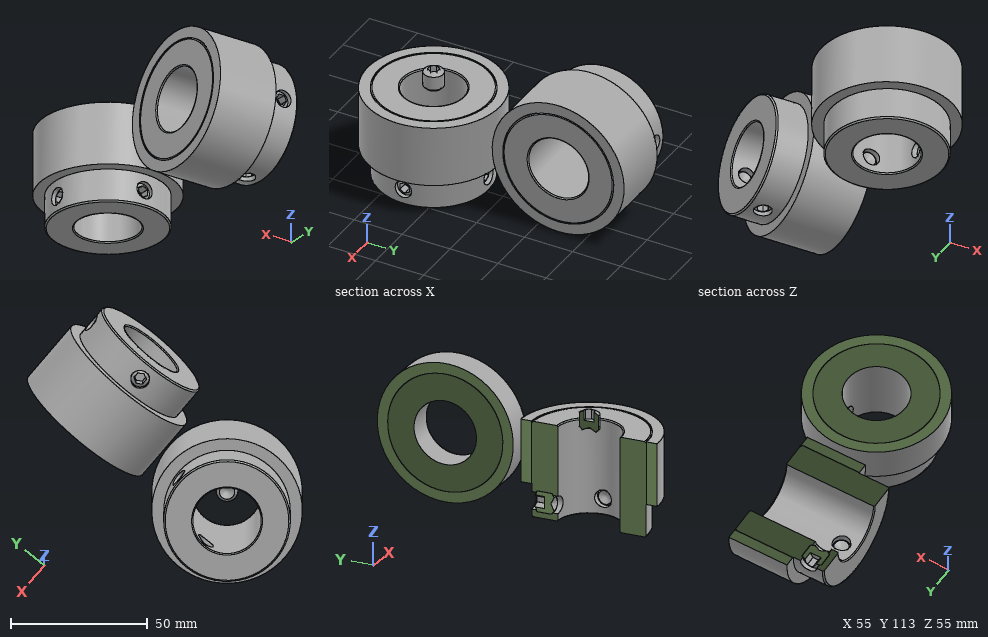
import cadquery as cq
import math

ring_diameter = 55.0
ring_length = 25.0

hub_diameter = 46.2
hub_length = 38.0
hub_bore = 25.0
hub_chamfer = 0.6
bore_chamfer = 0.5
screw_hole = 6.8

screw_diameter = 8.0
screw_length = 8.0
screw_point = 5.5
cup_depth = 1.4
socket_flats = 4.0
socket_depth = 4.0
head_angle = 30

overall_length = 113
top_z = 11.0
collar_spacing = overall_length - ring_diameter
screw_z = top_z - (ring_length + hub_length) / 2
screw_inset = 1.1
screw_tip_radius = hub_diameter / 2 - screw_inset - screw_length

origin = (0, 0, 0)
y_axis = (0, 1, 0)
z_axis = (0, 0, 1)
screw_turns = (0, 90)


def upright_screw_blank():
    """Screw without its socket and cup, point down with its tip at the origin."""
    radius = screw_diameter / 2
    point_radius = screw_point / 2
    point_height = radius - point_radius
    head_radius = socket_flats / 2
    head_height = (radius - head_radius) * math.tan(math.radians(head_angle))
    return (
        cq.Workplane("XZ")
        .moveTo(0, 0)
        .lineTo(point_radius, 0)
        .lineTo(radius, point_height)
        .lineTo(radius, screw_length - head_height)
        .lineTo(head_radius, screw_length)
        .lineTo(0, screw_length)
        .close()
        .revolve(360, origin, y_axis)
    )


def upright_screw():
    """Set screw with its socket corners toward +Y and -Y."""
    socket = (
        cq.Workplane("XY")
        .workplane(offset=screw_length - socket_depth)
        .polygon(6, socket_flats, circumscribed=True)
        .extrude(socket_depth)
        .rotate(origin, z_axis, 90)
    )
    cup = (
        cq.Workplane("XZ")
        .moveTo(0, 0)
        .lineTo(screw_point / 2, 0)
        .lineTo(0, cup_depth)
        .close()
        .revolve(360, origin, y_axis)
    )
    return upright_screw_blank().cut(socket).cut(cup)


def radial(shape, turn):
    """Lay an upright shape outward along the radius at the given turn."""
    return (
        shape.rotate(origin, y_axis, 90)
        .translate((screw_tip_radius, 0, screw_z))
        .rotate(origin, z_axis, turn)
    )


def make_ring():
    return (
        cq.Workplane("XY")
        .workplane(offset=top_z - ring_length)
        .circle(ring_diameter / 2)
        .circle(hub_diameter / 2)
        .extrude(ring_length)
    )


def make_hub():
    hub = (
        cq.Workplane("XY")
        .workplane(offset=top_z - hub_length)
        .circle(hub_diameter / 2)
        .extrude(hub_length)
        .faces("<Z or >Z")
        .edges()
        .chamfer(hub_chamfer)
    )
    bore = (
        cq.Workplane("XY")
        .workplane(offset=top_z - hub_length)
        .circle(hub_bore / 2)
        .extrude(hub_length)
    )
    hub = hub.cut(bore)
    hub = hub.faces("<Z or >Z").edges(cq.selectors.RadiusNthSelector(0)).chamfer(bore_chamfer)

    drill = cq.Workplane("XY").workplane(offset=-screw_tip_radius).circle(screw_hole / 2)
    drill = drill.extrude(hub_diameter)
    for turn in screw_turns:
        for cutter in (drill, upright_screw_blank()):
            hub = hub.cut(radial(cutter, turn))
    return hub


def upright(body):
    """Leave a body on the upright collar, whose axis is Z."""
    return body


def lying(body):
    """Move a body to the second collar, whose flush end faces +X."""
    return body.rotate(origin, y_axis, 90).translate((0, collar_spacing, 0))


bodies = []
for place in (upright, lying):
    ring = place(make_ring())
    hub = place(make_hub())
    bodies += [ring.val(), hub.val()]
    for turn in screw_turns:
        seated_screw = place(radial(upright_screw(), turn))
        bodies.append(seated_screw.val())

loose_screw = upright_screw().translate((0, 0, top_z))
bodies.append(loose_screw.val())

result = cq.Compound.makeCompound(bodies)